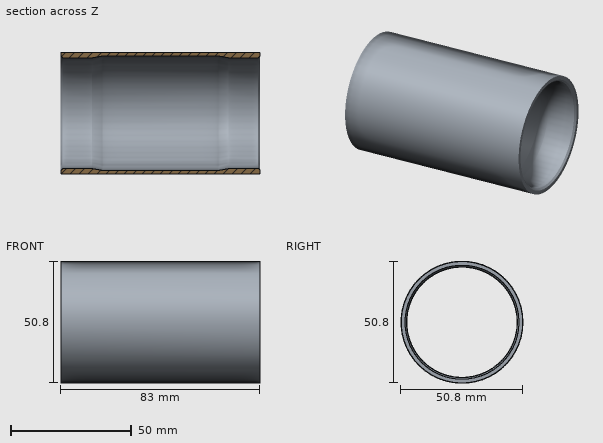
import cadquery as cq

length = 83.0
outer_diameter = 50.8
land_diameter = 46.0
relief_diameter = 47.5
mouth_chamfer = 0.75
land_end = 13.0
taper_length = 4.3

outer_radius = outer_diameter / 2
land_radius = land_diameter / 2
relief_radius = relief_diameter / 2
mouth_radius = land_radius + mouth_chamfer
half_length = length / 2

half_bore = [
    (-half_length, mouth_radius),
    (-half_length + mouth_chamfer, land_radius),
    (-half_length + land_end, land_radius),
    (-half_length + land_end + taper_length, relief_radius),
]
mirrored_bore = [(-x, radius) for x, radius in reversed(half_bore)]
outer_edge = [(half_length, outer_radius), (-half_length, outer_radius)]

wall_section = cq.Workplane("XY").polyline(half_bore + mirrored_bore + outer_edge).close()
result = wall_section.revolve(360, (0, 0, 0), (1, 0, 0))